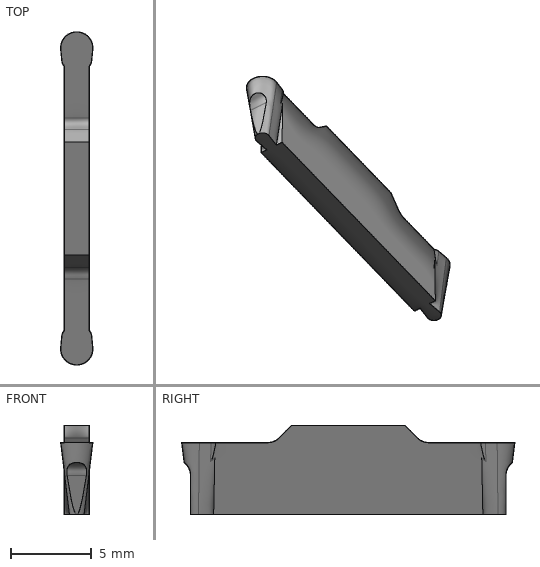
import cadquery as cq
import math


overall_length = 20.6
overall_height = 5.51
body_width = 1.57

ridge_length = 7.0
ridge_rise = 1.06
ridge_slope = 45.0
ridge_foot_radius = 1.0
shelf_height = overall_height - ridge_rise

body_end_top = 8.23
body_end_bottom = 8.32

nose_radius = 1.0
nose_center = overall_length / 2 - nose_radius
side_relief = 5.5
clearance = 7.0
head_root = 7.2
shoulder_start = 8.49
shoulder_end = 8.18
shoulder_root_width = 0.6
flare_overlap = 0.2

nose_flat = 9.755
runout_start = 2.42
runout_radius = 1.0


relief_angle = math.radians(side_relief)
tangent_x = nose_radius * math.cos(relief_angle)
tangent_y = nose_center - nose_radius * math.sin(relief_angle)


def side_half_width(y):
    """Half width of the head at the cutting edge, behind the nose."""
    return tangent_x - (tangent_y - y) * math.tan(relief_angle)


def make_body():
    half_ridge = ridge_length / 2
    slope = math.radians(ridge_slope)
    foot = half_ridge + ridge_rise / math.tan(slope)
    tangent_length = ridge_foot_radius * math.tan(slope / 2)
    slope_end_y = foot - tangent_length * math.cos(slope)
    slope_end_z = shelf_height + tangent_length * math.sin(slope)
    arc_end_y = foot + tangent_length
    arc_mid_y = arc_end_y - ridge_foot_radius * math.sin(slope / 2)
    arc_mid_z = shelf_height + ridge_foot_radius * (1 - math.cos(slope / 2))
    return (
        cq.Workplane("YZ")
        .moveTo(-body_end_bottom, 0)
        .lineTo(body_end_bottom, 0)
        .lineTo(body_end_top, shelf_height)
        .lineTo(arc_end_y, shelf_height)
        .threePointArc((arc_mid_y, arc_mid_z), (slope_end_y, slope_end_z))
        .lineTo(half_ridge, overall_height)
        .lineTo(-half_ridge, overall_height)
        .lineTo(-slope_end_y, slope_end_z)
        .threePointArc((-arc_mid_y, arc_mid_z), (-arc_end_y, shelf_height))
        .lineTo(-body_end_top, shelf_height)
        .close()
        .extrude(body_width / 2, both=True)
    )


def nose_outline():
    """Open outline of the nose at the cutting edge, from its -X to its +X tangent point."""
    return (
        cq.Workplane("XY", origin=(0, 0, shelf_height))
        .moveTo(-tangent_x, tangent_y)
        .threePointArc((0, nose_center + nose_radius), (tangent_x, tangent_y))
    )


def make_flared_head():
    """Upper part of the head, wider than the body, with rounded shoulders down to the body sides."""
    start_x = side_half_width(shoulder_start)
    end_x = body_width / 2
    drop = start_x - end_x
    run = shoulder_start - shoulder_end
    chord_angle = math.atan2(drop, run)
    turn = 2 * (chord_angle - relief_angle)
    sagitta = math.hypot(drop, run) / 2 * math.tan(turn / 4)
    mid_x = (start_x + end_x) / 2 + sagitta * math.cos(chord_angle)
    mid_y = (shoulder_start + shoulder_end) / 2 - sagitta * math.sin(chord_angle)

    root_x = shoulder_root_width / 2
    root_y = shoulder_end - (end_x - root_x) / math.tan(relief_angle + turn)

    depth = flare_overlap + (nose_radius - end_x) / math.tan(math.radians(clearance))
    return (
        nose_outline()
        .lineTo(start_x, shoulder_start)
        .threePointArc((mid_x, mid_y), (end_x, shoulder_end))
        .lineTo(root_x, root_y)
        .lineTo(-root_x, root_y)
        .lineTo(-end_x, shoulder_end)
        .threePointArc((-mid_x, mid_y), (-start_x, shoulder_start))
        .close()
        .extrude(-depth, taper=clearance)
    )


def make_straight_head():
    """Full-height part of the head, kept within the body width, running straight into the body end."""
    root_x = side_half_width(head_root)
    drafted = (
        nose_outline()
        .lineTo(root_x, head_root)
        .lineTo(-root_x, head_root)
        .close()
        .extrude(-shelf_height, taper=clearance)
    )
    body_slab = cq.Workplane("XY").box(body_width, overall_length, overall_height, centered=(True, True, False))
    return drafted.intersect(body_slab)


def make_nose_cutter():
    arc_center_y = nose_flat + runout_radius
    arc_top_z = runout_start + runout_radius
    diagonal = runout_radius / math.sqrt(2)
    arc_mid_y = arc_center_y - diagonal
    arc_mid_z = runout_start + diagonal
    return (
        cq.Workplane("YZ")
        .moveTo(nose_flat, 0)
        .lineTo(nose_flat, runout_start)
        .threePointArc((arc_mid_y, arc_mid_z), (arc_center_y, arc_top_z))
        .lineTo(arc_center_y, 0)
        .close()
        .extrude(nose_radius, both=True)
    )


def make_head():
    return make_flared_head().union(make_straight_head()).cut(make_nose_cutter())


head = make_head()
result = make_body().union(head).union(head.mirror("XZ"))